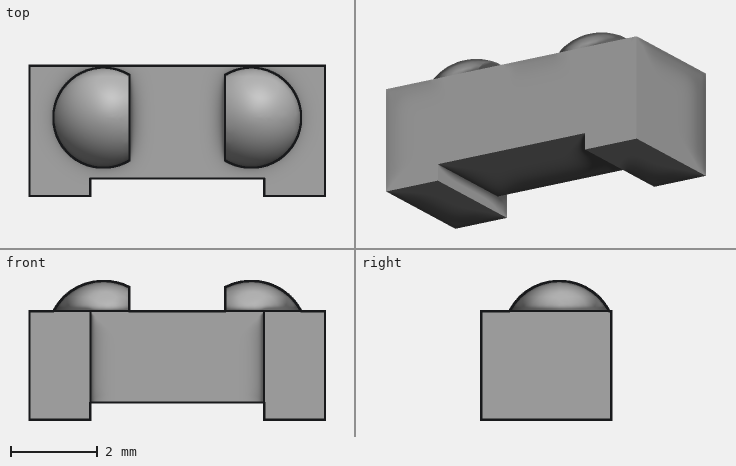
import cadquery as cq

length = 6.8
depth = 3.0
body_height = 2.5
end_block_width = 1.4
front_recess = 0.4
underside_recess = 0.4

lens_height = 0.7
sphere_radius = 1.3
lens_from_end = 1.7
lens_from_back = 1.2
lens_flat_offset = 0.6

middle_width = length - 2 * end_block_width
lens_x = length / 2 - lens_from_end
lens_y = depth - lens_from_back
sphere_z = body_height + lens_height - sphere_radius


def corner_box(x_size, y_size, z_size):
    """Box centred along X, starting at Y = 0 and Z = 0."""
    return cq.Workplane("XY").box(x_size, y_size, z_size, centered=(True, False, False))


def make_body():
    """Block whose middle is set back at the front and raised underneath."""
    block = corner_box(length, depth, body_height)
    front_notch = corner_box(middle_width, front_recess, body_height)
    underside_channel = corner_box(middle_width, depth, underside_recess)
    return block.cut(front_notch).cut(underside_channel)


def make_lens(side):
    """Spherical cap at the left (side = -1) or right (side = 1) end."""
    sphere_center = (side * lens_x, lens_y, sphere_z)
    sphere = cq.Workplane("XY").sphere(sphere_radius).translate(sphere_center)
    kept_width = lens_flat_offset + sphere_radius
    kept_x = side * (lens_x - lens_flat_offset + kept_width / 2)
    kept_y = lens_y - sphere_radius
    kept_region = corner_box(kept_width, 2 * sphere_radius, lens_height)
    return sphere.intersect(kept_region.translate((kept_x, kept_y, body_height)))


result = make_body()
for side in (-1, 1):
    result = result.union(make_lens(side))